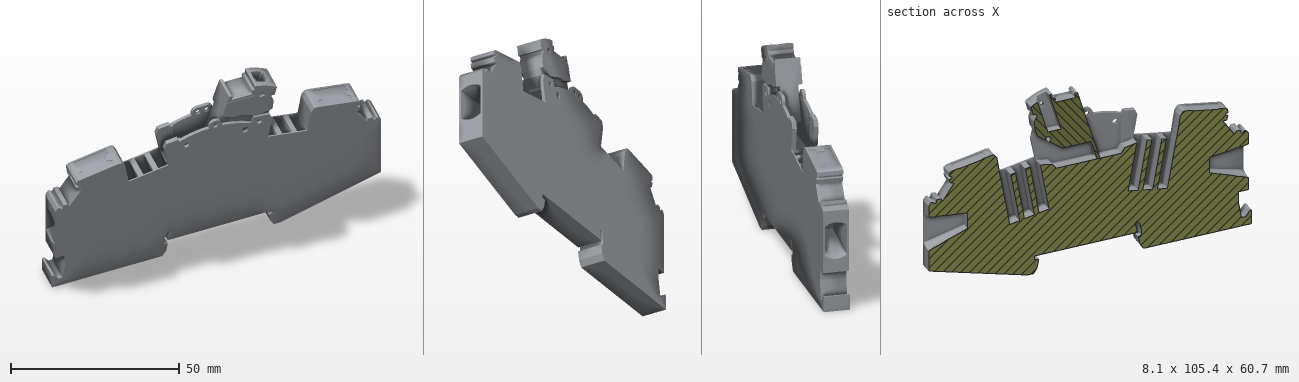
import cadquery as cq
import math

WIDTH = 8.1
HALF_WIDTH = WIDTH / 2
END_Y = 52.2
FOOT_TIP_Y = -53.2
CLEARANCE = 1.1

VALLEY_SLOPE = 10.0
VALLEY_INNER = (15.9, 37.8)
VALLEY_OUTER = (28.7, 35.6)
SLOT_COUNT = 3
SLOT_PITCH = 4.8
SLOT_LENGTH = 3.2
SLOT_DEPTH = 16.9
SLOT_SIDE_WALL = 0.4

MARKER_CENTRE = (38.3, 43.2)
MARKER_LENGTH = 10.5
MARKER_WIDTH = 6.7
MARKER_DEPTH = 0.2
NOTCH_WIDTH = 1.9
NOTCH_MOUTH = 3.1
OUTER_NOTCH_DEPTH = 1.1
INNER_NOTCH_DEPTH = 1.5

FUNNEL_Z = 22.0
FUNNEL_RADIUS = 5.8
FUNNEL_WIDTH = 6.7
FUNNEL_DEPTH = 12.6
CLAMP_WIDTH = 4.8
CLAMP_HEIGHT = 5.3
CLAMP_Z = 23.6

TROUGH_WIDTH = 6.1
POST_GAP = 5.3
POST_START_Y = -11.8
TROUGH_END_Y = 17.9
TROUGH_FLOOR_Z = 34.8
TROUGH_FLOOR_HALF = 10.5
RAMP_FOOT = (11.8, 36.5)
RAMP_TOP_Z = 37.2
TROUGH_TOP_Z = 63.2

EAR_RADIUS = 2.0
EAR_Z = 48.9
EAR_HOLE_Y = -0.8
EAR_HOLE_PITCH = 2.7
EAR_ROOT = 3.2
SMALL_HOLE = 1.7
BACK_HOLE = (13.2, 45.3)
PIVOT = (8.6, 43.5)
PIVOT_DIAMETER = 2.1
CATCH_HOLE = (-10.1, 44.1)

FRONT_TOP = (3.6, 59.2)
FRONT_LEAN = 0.3
BED_Z = 57.7
BED_SIDE_Z = 56.8
BED_INSET = 0.1
HEAD_FRONT_Y = 11.8
HEAD_TOP_Z = 60.7
LIP_THICKNESS = 0.8
LIP_NOSE = 0.3
HEAD_UNDERSIDE_Z = 51.8
UNDERSIDE_REAR = [(7.6, 50.2), (12.3, 48.3), (17.4, 49.1)]
NECK_FRONT_WIDTH = 5.5
NECK_FRONT_LENGTH = 3.9
NECK_BOTTOM_Z = 41.1
TONGUE_WIDTH = 1.2
TONGUE_THICKNESS = 1.1
SQUARE_HOLE = (14.0, 56.4)
SQUARE_SIZE = 1.6
SQUARE_TILT = 10.0
POCKET_FRONT_SETBACK = 8.9
POCKET_LENGTH = 3.6
POCKET_WIDTH = 4.4
POCKET_BOTTOM_Z = 48.0
KEY_WIDTH = 2.5
KEY_LENGTH = 0.6

END_OUTLINE = [
    VALLEY_INNER, VALLEY_OUTER,
    (29.8, 42.9), (30.8, 44.3), (31.6, 44.4),
    (44.7, 42.1), (45.4, 41.5), (45.5, 40.3),
    (44.7, 40.0), (44.7, 39.5), (45.5, 39.3), (45.1, 37.8),
    (44.0, 37.6), (47.6, 32.4),
    (48.2, 33.3), (49.5, 33.4), (49.9, 32.3), (50.4, 32.1),
    (50.7, 32.8), (51.3, 32.8), (END_Y, 31.6),
]

FOOT_OUTLINE = [
    (-END_Y, 12.0), (-48.9, 12.0), (-48.9, 8.6), (-50.0, 3.1), (-51.2, 3.1),
    (-52.6, 4.8), (FOOT_TIP_Y, 4.8), (FOOT_TIP_Y, 0), (-17.9, 0),
    (-16.7, 1.9), (-16.1, 4.6), (-17.2, 4.8), (-17.2, 6.7),
    (-16.5, 9.1), (-15.8, 9.9), (-15.2, 9.3), (-16.2, 6.0),
    (17.5, 6.0), (17.5, 4.8), (16.1, 4.6), (16.8, 1.8), (17.9, 0),
    (20.0, 0), (END_Y, 9.2),
]

REAR_EDGE = [(17.3, 44.5), (16.7, 47.1), (11.4, 47.7), (10.8, 45.5)]
CROWN_APEX = (-2.1, 48.5)
FRONT_POST = [(-12.5, 46.4), (-12.8, 47.4), (-16.4, 46.9), (-17.2, 45.0)]


def mirrored(points):
    return [(-y, z) for y, z in points]


def prism(points, width, centre_x=0.0):
    """Closed YZ polygon extruded along X, centred on centre_x."""
    start = cq.Workplane("YZ").workplane(offset=centre_x - width / 2)
    return start.polyline(points).close().extrude(width)


def cross_hole(centre, diameter, x_start, x_end):
    """Cutter for a round hole along X."""
    plane = cq.Workplane("YZ").workplane(offset=x_start)
    return plane.center(*centre).circle(diameter / 2).extrude(x_end - x_start)


def tilted_plane(centre, slope):
    """Plane on a surface falling towards +Y; local x runs down the slope, local y along X."""
    angle = math.radians(slope)
    return cq.Plane(
        origin=(0, *centre),
        xDir=(0, math.cos(angle), -math.sin(angle)),
        normal=(0, math.sin(angle), math.cos(angle)),
    )


def on_both_ends(cutter):
    return cutter.union(cutter.mirror("XZ"))



def housing_blank():
    outline = cq.Workplane("YZ").workplane(offset=-HALF_WIDTH).moveTo(*VALLEY_INNER)
    for point in REAR_EDGE:
        outline = outline.lineTo(*point)
    outline = outline.threePointArc(CROWN_APEX, FRONT_POST[0])
    for point in FRONT_POST[1:] + mirrored(END_OUTLINE) + FOOT_OUTLINE + END_OUTLINE[:0:-1]:
        outline = outline.lineTo(*point)
    return outline.close().extrude(WIDTH)


def ear(x_start, x_end, hole_count):
    """Rounded tab standing on a side wall, long enough for its row of holes."""
    last_y = EAR_HOLE_Y - (hole_count - 1) * EAR_HOLE_PITCH
    diagonal = EAR_RADIUS * math.sqrt(0.5)
    root_z = EAR_Z - EAR_ROOT
    tab = (
        cq.Workplane("YZ").workplane(offset=x_start)
        .moveTo(EAR_HOLE_Y + EAR_RADIUS, root_z)
        .lineTo(EAR_HOLE_Y + EAR_RADIUS, EAR_Z)
        .threePointArc((EAR_HOLE_Y + diagonal, EAR_Z + diagonal), (EAR_HOLE_Y, EAR_Z + EAR_RADIUS))
    )
    if hole_count > 1:
        tab = tab.lineTo(last_y, EAR_Z + EAR_RADIUS)
    tab = (
        tab.threePointArc((last_y - diagonal, EAR_Z + diagonal), (last_y - EAR_RADIUS, EAR_Z))
        .lineTo(last_y - EAR_RADIUS, root_z)
        .close()
    )
    return tab.extrude(x_end - x_start)


def ear_holes(x_start, x_end, hole_count):
    centres = [(EAR_HOLE_Y - index * EAR_HOLE_PITCH, EAR_Z) for index in range(hole_count)]
    plane = cq.Workplane("YZ").workplane(offset=x_start)
    return plane.pushPoints(centres).circle(SMALL_HOLE / 2).extrude(x_end - x_start)


def trough():
    """Open channel for the lever, with a ramp at each end and a narrower gap at the front posts."""
    half_floor = [(TROUGH_FLOOR_HALF, TROUGH_FLOOR_Z), RAMP_FOOT, (VALLEY_INNER[0], RAMP_TOP_Z),
                  (TROUGH_END_Y, RAMP_TOP_Z), (TROUGH_END_Y, TROUGH_TOP_Z)]
    outline = half_floor + mirrored(half_floor)[::-1]
    narrow = prism(outline, POST_GAP)
    behind_posts = cq.Workplane("XY").box(
        TROUGH_WIDTH, TROUGH_END_Y - POST_START_Y, TROUGH_TOP_Z, centered=(True, False, False)
    ).translate((0, POST_START_Y, 0))
    return narrow.union(prism(outline, TROUGH_WIDTH).intersect(behind_posts))


def valley_slots():
    """Deep slots square to the sloping valley floor, in a row from the central block outwards."""
    row = cq.Workplane(tilted_plane(VALLEY_INNER, VALLEY_SLOPE))
    centres = [(SLOT_LENGTH / 2 + index * SLOT_PITCH, 0) for index in range(SLOT_COUNT)]
    width = WIDTH - 2 * SLOT_SIDE_WALL
    slots = row.workplane(offset=-SLOT_DEPTH).pushPoints(centres)
    return on_both_ends(slots.rect(SLOT_LENGTH, width).extrude(SLOT_DEPTH + CLEARANCE))


def marker_recesses():
    """Shallow marker seats with a square outer notch and a tapered inner notch."""
    half_length = MARKER_LENGTH / 2
    half_width = MARKER_WIDTH / 2
    outer_y = half_length - OUTER_NOTCH_DEPTH
    inner_y = INNER_NOTCH_DEPTH - half_length
    side = [
        (inner_y, NOTCH_WIDTH / 2), (-half_length, NOTCH_MOUTH / 2), (-half_length, half_width),
        (half_length, half_width), (half_length, NOTCH_WIDTH / 2), (outer_y, NOTCH_WIDTH / 2),
    ]
    other_side = [(along, -across) for along, across in reversed(side)]
    seat = cq.Workplane(tilted_plane(MARKER_CENTRE, VALLEY_SLOPE)).workplane(offset=-MARKER_DEPTH)
    return on_both_ends(seat.polyline(side + other_side).close().extrude(MARKER_DEPTH + CLEARANCE))


def wire_funnels():
    """Tapered wire entries: a circle with flattened sides narrowing to a rectangular clamp."""
    half = FUNNEL_WIDTH / 2
    rise = math.sqrt(FUNNEL_RADIUS**2 - half**2)
    clamp_rise = CLAMP_Z - FUNNEL_Z
    mouth = cq.Workplane("XZ", origin=(0, -END_Y, FUNNEL_Z))
    funnel = (
        mouth.moveTo(-half, -rise)
        .threePointArc((0, -FUNNEL_RADIUS), (half, -rise))
        .lineTo(half, rise)
        .threePointArc((0, FUNNEL_RADIUS), (-half, rise))
        .close()
        .workplane(offset=-FUNNEL_DEPTH)
        .moveTo(-CLAMP_WIDTH / 2, clamp_rise - CLAMP_HEIGHT / 2)
        .lineTo(CLAMP_WIDTH / 2, clamp_rise - CLAMP_HEIGHT / 2)
        .lineTo(CLAMP_WIDTH / 2, clamp_rise + CLAMP_HEIGHT / 2)
        .lineTo(-CLAMP_WIDTH / 2, clamp_rise + CLAMP_HEIGHT / 2)
        .close()
        .loft(ruled=True, combine=True)
    )
    return on_both_ends(funnel)


def make_housing():
    inner = TROUGH_WIDTH / 2
    body = housing_blank().cut(trough())
    body = body.union(ear(-HALF_WIDTH, -inner, 2)).union(ear(inner, HALF_WIDTH, 1))
    body = body.cut(ear_holes(-HALF_WIDTH, -inner, 2)).cut(ear_holes(inner, HALF_WIDTH, 1))
    body = body.cut(cross_hole(BACK_HOLE, SMALL_HOLE, -HALF_WIDTH, HALF_WIDTH))
    body = body.cut(cross_hole(PIVOT, PIVOT_DIAMETER, -HALF_WIDTH, HALF_WIDTH))
    body = body.cut(cross_hole(CATCH_HOLE, SMALL_HOLE, 0, HALF_WIDTH))
    return body.cut(valley_slots()).cut(marker_recesses()).cut(wire_funnels())



def front_point(z, setback=0.0):
    """Point at height z on the leaning front face, or on a parallel plane behind it."""
    return (FRONT_TOP[0] - (FRONT_TOP[1] - z) * FRONT_LEAN + setback, z)


def lever_head():
    """Full-width upper part with the domed head and the label bed in front of it."""
    front_lip = FRONT_TOP[0] + LIP_THICKNESS
    back_lip = HEAD_FRONT_Y - LIP_THICKNESS
    lip_nose_z = (BED_Z + FRONT_TOP[1]) / 2
    bed = [
        (HEAD_FRONT_Y, HEAD_TOP_Z), (HEAD_FRONT_Y, FRONT_TOP[1]), (back_lip, FRONT_TOP[1]),
        (back_lip - LIP_NOSE, lip_nose_z), (back_lip, lip_nose_z), (back_lip, BED_Z),
        (front_lip, BED_Z), (front_lip, lip_nose_z), (front_lip + LIP_NOSE, lip_nose_z),
        (front_lip, FRONT_TOP[1]), FRONT_TOP,
    ]
    underside = [front_point(HEAD_UNDERSIDE_Z), (5.2, 50.3)] + UNDERSIDE_REAR
    rear = [(17.8, 52.5), (16.9, 54.3), (17.3, 55.0), (18.1, 54.8)]
    outline = (
        cq.Workplane("YZ").workplane(offset=-HALF_WIDTH)
        .moveTo(18.9, 57.9)
        .threePointArc((15.3, 59.8), (12.3, HEAD_TOP_Z))
    )
    for point in bed + underside + rear:
        outline = outline.lineTo(*point)
    head = outline.close().extrude(WIDTH)
    return head.cut(bed_sides())


def bed_sides():
    """Thin slices that make the label bed slightly narrower than the lever."""
    slice_outline = [(0, BED_SIDE_Z), (HEAD_FRONT_Y, BED_SIDE_Z),
                     (HEAD_FRONT_Y, HEAD_TOP_Z), (0, HEAD_TOP_Z)]
    one_side = prism(slice_outline, BED_INSET, HALF_WIDTH - BED_INSET / 2)
    return one_side.union(one_side.mirror("YZ"))


def lever_neck():
    """Narrow lower part between the housing walls, thinner along its front edge."""
    rear_outline = [
        (16.7, 47.1), (8.4, NECK_BOTTOM_Z),
        front_point(NECK_BOTTOM_Z, NECK_FRONT_LENGTH),
        front_point(HEAD_UNDERSIDE_Z, NECK_FRONT_LENGTH),
    ] + UNDERSIDE_REAR
    front_outline = [
        front_point(HEAD_UNDERSIDE_Z), front_point(NECK_BOTTOM_Z),
        front_point(NECK_BOTTOM_Z, NECK_FRONT_LENGTH), front_point(HEAD_UNDERSIDE_Z, NECK_FRONT_LENGTH),
    ]
    return prism(rear_outline, TROUGH_WIDTH).union(prism(front_outline, NECK_FRONT_WIDTH))


def lever_tongue():
    """Thin contact tongue running down from the front face to the trough floor."""
    outline = [
        front_point(NECK_BOTTOM_Z), front_point(TROUGH_FLOOR_Z),
        front_point(TROUGH_FLOOR_Z, TONGUE_THICKNESS), front_point(NECK_BOTTOM_Z, TONGUE_THICKNESS),
    ]
    return prism(outline, TONGUE_WIDTH)


def leaning_slot(setback, length, width):
    """Cutter that runs down from the head top parallel to the front face."""
    outline = [
        front_point(HEAD_TOP_Z, setback), front_point(POCKET_BOTTOM_Z, setback),
        front_point(POCKET_BOTTOM_Z, setback + length), front_point(HEAD_TOP_Z, setback + length),
    ]
    return prism(outline, width)


def head_pocket():
    """Deep pocket in the head, with a narrower key along its rear wall."""
    main = leaning_slot(POCKET_FRONT_SETBACK, POCKET_LENGTH, POCKET_WIDTH)
    return main.union(leaning_slot(POCKET_FRONT_SETBACK, POCKET_LENGTH + KEY_LENGTH, KEY_WIDTH))


def square_hole():
    plane = cq.Workplane("YZ").workplane(offset=-HALF_WIDTH).center(*SQUARE_HOLE)
    sketch = plane.transformed(rotate=(0, 0, SQUARE_TILT))
    return sketch.rect(SQUARE_SIZE, SQUARE_SIZE).extrude(WIDTH)


def make_lever():
    lever = lever_head().union(lever_neck()).union(lever_tongue())
    lever = lever.cut(head_pocket()).cut(square_hole())
    return lever.cut(cross_hole(BACK_HOLE, SMALL_HOLE, -HALF_WIDTH, HALF_WIDTH))


housing = make_housing()
lever = make_lever()

result = cq.Compound.makeCompound([housing.solids().val(), lever.solids().val()])